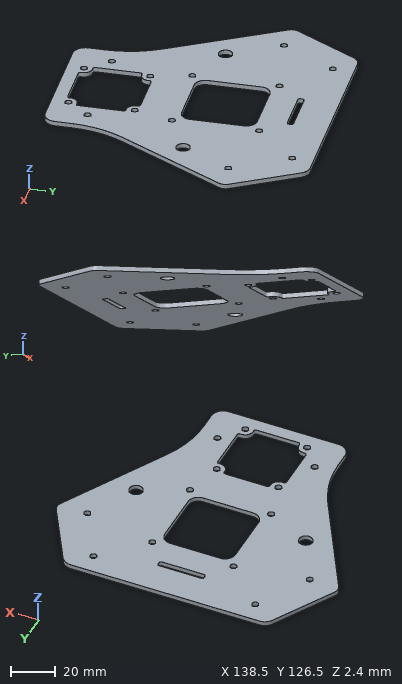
import cadquery as cq
import math

THICKNESS = 2.4
WIDTH = 138.5
LENGTH = 126.5
TAIL_WIDTH = 66.0
FRONT_Y = 49.7
SHOULDER_Y = 15.1
REAR_Y = FRONT_Y - LENGTH
FRONT_SIDE_ANGLE = 60.0
REAR_SIDE_ANGLE = 60.4
FRONT_CORNER_RADIUS = 6.0
SHOULDER_RADIUS = 4.5
WAIST_RADIUS = 50.0
TAIL_CORNER_RADIUS = 6.0

MAIN_WINDOW_SIZE = 34.6
MAIN_WINDOW_RADIUS = 5.0
MAIN_HOLE_PITCH = 40.0

REAR_WINDOW_Y = -53.5
REAR_WINDOW_WIDTH = 33.8
REAR_WINDOW_LENGTH = 33.4
REAR_HOLE_PITCH = 30.5
HOLE_LAND_RADIUS = 4.0
REAR_WINDOW_EDGE_RADIUS = 1.0

SLOT_Y = 32.1
SLOT_LENGTH = 22.6
SLOT_WIDTH = 2.8
SLOT_CORNER_RADIUS = 1.0

SCREW_DIAMETER = 3.0
SIDE_SCREW_POSITIONS = [(39.9, 39.9), (54.8, 14.0), (24.0, -57.9)]
LARGE_DIAMETER = 6.4
LARGE_POSITION = (41.8, -9.8)


def mirrored(points):
    """Return the points together with their mirror images across X = 0."""
    return [(side * x, y) for x, y in points for side in (1, -1)]


def square_corners(pitch, center_y=0.0):
    """Return the corners of a square centred on the Y axis."""
    half = pitch / 2
    return mirrored([(half, center_y + half), (half, center_y - half)])


def fillet_upright(body, corners, radius):
    """Round the upright edges that stand on the given plan points."""
    for x, y in corners:
        edge = cq.selectors.NearestToPointSelector((x, y, THICKNESS / 2))
        body = body.edges("|Z").edges(edge).fillet(radius)
    return body


def make_plate():
    front_slope = math.tan(math.radians(FRONT_SIDE_ANGLE))
    rear_slope = math.tan(math.radians(REAR_SIDE_ANGLE))
    mean_side_angle = math.radians((FRONT_SIDE_ANGLE + REAR_SIDE_ANGLE) / 2)
    shoulder_overhang = SHOULDER_RADIUS * (1 / math.sin(mean_side_angle) - 1)
    shoulder_x = WIDTH / 2 + shoulder_overhang
    front_x = shoulder_x - (FRONT_Y - SHOULDER_Y) / front_slope
    tail_x = TAIL_WIDTH / 2
    waist_y = SHOULDER_Y - (shoulder_x - tail_x) * rear_slope

    rounded_corners = [
        ((front_x, FRONT_Y), FRONT_CORNER_RADIUS),
        ((shoulder_x, SHOULDER_Y), SHOULDER_RADIUS),
        ((tail_x, waist_y), WAIST_RADIUS),
        ((tail_x, REAR_Y), TAIL_CORNER_RADIUS),
    ]
    right_side = [point for point, radius in rounded_corners]
    left_side = [(-x, y) for x, y in reversed(right_side)]
    plate = cq.Workplane("XY").polyline(right_side + left_side).close().extrude(THICKNESS)
    for point, radius in rounded_corners:
        plate = fillet_upright(plate, mirrored([point]), radius)
    return plate


def rounded_cutter(length_x, length_y, radius, center_y=0.0):
    block = cq.Workplane("XY").center(0, center_y).rect(length_x, length_y).extrude(THICKNESS)
    return block.edges("|Z").fillet(radius)


def hole_cutter(points, diameter):
    return cq.Workplane("XY").pushPoints(points).circle(diameter / 2).extrude(THICKNESS)


def rear_window_cutter():
    block = (
        cq.Workplane("XY")
        .center(0, REAR_WINDOW_Y)
        .rect(REAR_WINDOW_WIDTH, REAR_WINDOW_LENGTH)
        .extrude(THICKNESS)
    )
    lands = hole_cutter(square_corners(REAR_HOLE_PITCH, REAR_WINDOW_Y), 2 * HOLE_LAND_RADIUS)
    return block.cut(lands).edges("|Z").fillet(REAR_WINDOW_EDGE_RADIUS)


screw_points = (
    square_corners(MAIN_HOLE_PITCH)
    + square_corners(REAR_HOLE_PITCH, REAR_WINDOW_Y)
    + mirrored(SIDE_SCREW_POSITIONS)
)

result = (
    make_plate()
    .cut(rounded_cutter(MAIN_WINDOW_SIZE, MAIN_WINDOW_SIZE, MAIN_WINDOW_RADIUS))
    .cut(rear_window_cutter())
    .cut(rounded_cutter(SLOT_LENGTH, SLOT_WIDTH, SLOT_CORNER_RADIUS, SLOT_Y))
    .cut(hole_cutter(screw_points, SCREW_DIAMETER))
    .cut(hole_cutter(mirrored([LARGE_POSITION]), LARGE_DIAMETER))
)